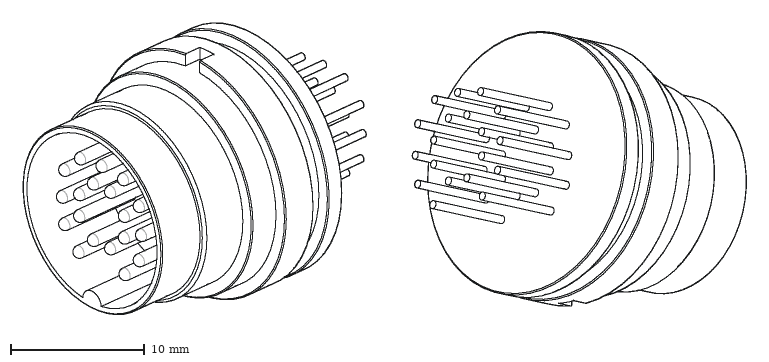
import cadquery as cq


total_length = 24.3
flange_radius = 10.0

plug_radius = 7.5
collar_radius = 8.0
body_radius = 9.0
plug_length = 4.0
collar_length = 4.0
body_length = 2.5
front_flange_length = 3.0
groove_length = 1.5
rear_flange_length = 1.5
edge_chamfer = 0.1
collar_chamfer = 0.25

socket_radius = 7.0
socket_depth = 8.0
key_radius = 1.0

notch_width = 1.5
notch_length = 1.5

contact_radius = 0.498
contact_tip_depth = 0.6
tail_radius = 0.304
tail_embed = 1.45
top_contact = (0, 4.25)
mirrored_contacts = (
    (2.3, 4.0),
    (4.0, 2.38),
    (4.25, 0),
    (4.0, -2.24),
    (2.48, -4.0),
    (0.92, 2.4),
    (2.4, 0.92),
    (2.4, -0.92),
    (0.92, -2.4),
)

collar_start = plug_length
body_start = collar_start + collar_length
front_flange_start = body_start + body_length
groove_start = front_flange_start + front_flange_length
rear_flange_start = groove_start + groove_length
shell_end = rear_flange_start + rear_flange_length


def cylinder(radius, start, end, x=0, z=0):
    """Cylinder parallel to Y between two Y positions."""
    base = cq.Workplane("XZ", origin=(x, start, z))
    return base.circle(radius).extrude(start - end)


def make_shell():
    """Solid stepped shell with chamfered rims."""
    plug = cylinder(plug_radius, 0, collar_start).faces("<Y").chamfer(edge_chamfer)
    collar = cylinder(collar_radius, collar_start, body_start).faces("<Y").chamfer(collar_chamfer)
    body = cylinder(body_radius, body_start, shell_end).faces("<Y").chamfer(edge_chamfer)
    front_flange = cylinder(flange_radius, front_flange_start, groove_start)
    rear_flange = cylinder(flange_radius, rear_flange_start, shell_end)
    shell = plug.union(collar).union(body)
    for flange in (front_flange, rear_flange):
        shell = shell.union(flange.faces("<Y or >Y").chamfer(edge_chamfer))
    return shell


def make_socket():
    """Round socket cavity, with the half-round key left standing at its bottom."""
    key = cylinder(key_radius, 0, socket_depth, z=-socket_radius)
    return cylinder(socket_radius, 0, socket_depth).cut(key)


def make_notches():
    """Two opposite blocks that cut the front flange down to the body surface."""
    blocks = cq.Workplane("XY").box(
        notch_width, notch_length, 2 * flange_radius, centered=(True, False, True)
    )
    blocks = blocks.translate((0, front_flange_start, 0))
    return blocks.cut(cylinder(body_radius, front_flange_start, groove_start))


def make_contact(x, z):
    """Contact pin with a hemispherical nose in the socket and a thinner solder tail at the rear."""
    nose_center = contact_tip_depth + contact_radius
    nose = cq.Workplane("XY").sphere(contact_radius).translate((x, nose_center, z))
    pin = cylinder(contact_radius, nose_center, shell_end - tail_embed, x, z)
    tail = cylinder(tail_radius, shell_end - tail_embed, total_length, x, z)
    return nose.union(pin).union(tail)


result = make_shell().cut(make_socket()).cut(make_notches())
result = result.union(make_contact(*top_contact))
for x, z in mirrored_contacts:
    for side in (1, -1):
        result = result.union(make_contact(side * x, z))